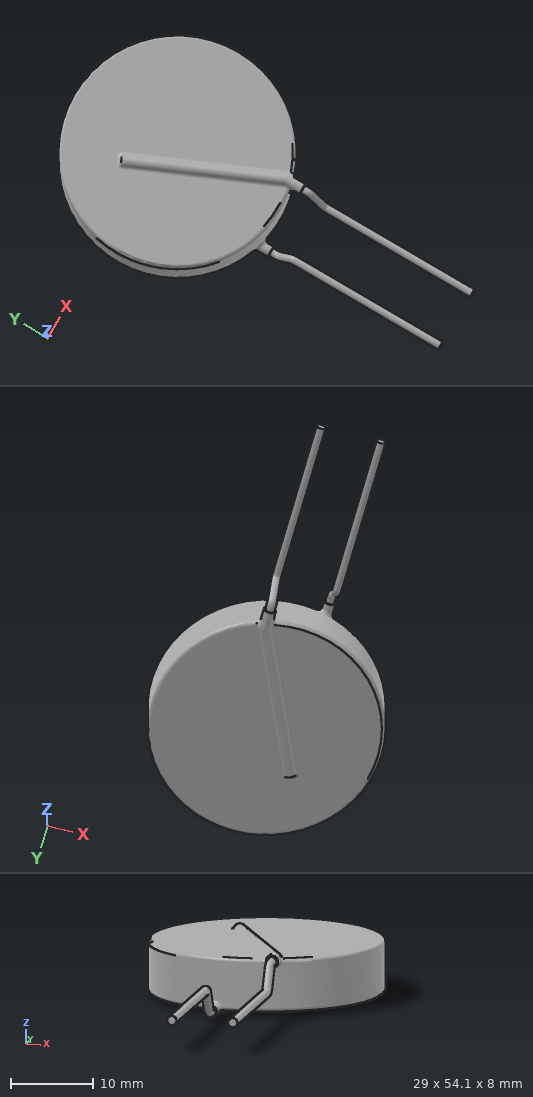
import cadquery as cq
import math

disc_diameter = 29.0
disc_height = 6.6
overall_height = 8.0
edge_radius = 0.5

sleeve_radius = 0.75
ridge_tilt = 24.0
ridge_end_y = 5.3
ridge_bend_radius = 0.95
sleeve_start_y = -13.45
sleeve_end_y = -15.5
ridge_end_radius = 0.15
root_fillet = 0.5
select_margin = 0.05

overall_length = 54.05

lead_radius = 0.6
lead_x = 3.8
lead_tip_y = disc_diameter / 2 - overall_length
lead_bend_start_y = -16.0
lead_bend_radius = 0.95
lead_bend_angle = 59.0

face_z = disc_height / 2
axis_z = overall_height / 2 - sleeve_radius
tilt = math.radians(ridge_tilt)
ridge_bend_x = lead_x - ridge_bend_radius * (1 - math.cos(tilt))
ridge_bend_y = sleeve_start_y + ridge_bend_radius * math.sin(tilt)
ridge_end_x = ridge_bend_x - (ridge_end_y - ridge_bend_y) * math.tan(tilt)


def turn_over(shape):
    """Copy of a feature on the opposite face, half a turn about the Y axis."""
    return shape.rotate((0, 0, 0), (0, 1, 0), 180)


def make_ridge():
    """Round bar lying half sunk in the top face, bending into the sleeve."""
    path = (
        cq.Workplane("XY", origin=(0, 0, axis_z))
        .moveTo(lead_x, sleeve_end_y)
        .lineTo(lead_x, sleeve_start_y)
        .tangentArcPoint((ridge_bend_x, ridge_bend_y), relative=False)
        .lineTo(ridge_end_x, ridge_end_y)
    )
    section = cq.Workplane("XZ", origin=(lead_x, sleeve_end_y, axis_z)).circle(sleeve_radius)
    bar = section.sweep(path)
    return bar.faces(">Y").edges().fillet(ridge_end_radius)


def add_ridge(body):
    """Join a ridge to the top face and fillet the line where the two meet."""
    joined = body.union(make_ridge())
    half_disc = disc_diameter / 2
    along_ridge = cq.selectors.BoxSelector(
        (-half_disc, sleeve_start_y, face_z - select_margin),
        (half_disc, half_disc, face_z + select_margin),
    )
    return joined.edges("%LINE").edges(along_ridge).fillet(root_fillet)


def make_body():
    body = cq.Workplane("XY", origin=(0, 0, -face_z)).circle(disc_diameter / 2).extrude(disc_height)
    body = body.edges("%CIRCLE").fillet(edge_radius)
    body = turn_over(add_ridge(body))
    return turn_over(add_ridge(body))


def make_lead():
    """Wire that leaves the sleeve, slopes to mid height and runs straight to its tip."""
    slope = math.radians(lead_bend_angle)
    bend_run = lead_bend_radius * math.sin(slope)
    bend_drop = lead_bend_radius * (1 - math.cos(slope))
    slope_drop = axis_z - 2 * bend_drop
    slope_run = slope_drop / math.tan(slope)
    slope_start = (lead_bend_start_y - bend_run, axis_z - bend_drop)
    slope_end = (slope_start[0] - slope_run, bend_drop)
    tail_start = (slope_end[0] - bend_run, 0)
    path = (
        cq.Workplane("YZ", origin=(lead_x, 0, 0))
        .moveTo(sleeve_end_y, axis_z)
        .lineTo(lead_bend_start_y, axis_z)
        .tangentArcPoint(slope_start, relative=False)
        .lineTo(*slope_end)
        .tangentArcPoint(tail_start, relative=False)
        .lineTo(lead_tip_y, 0)
    )
    section = cq.Workplane("XZ", origin=(lead_x, sleeve_end_y, axis_z)).circle(lead_radius)
    return section.sweep(path)


body = make_body()
lead = make_lead()
leads = [lead, turn_over(lead)]

result = cq.Compound.makeCompound([body.solids().val(), *[wire.val() for wire in leads]])